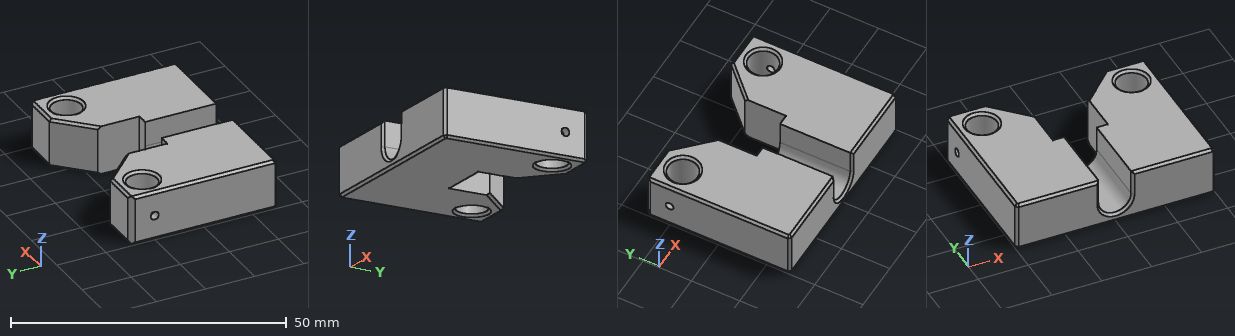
import cadquery as cq

length = 40.0
depth = 30.0
height = 10.0
edge_chamfer = height / 20
back_corner_chamfer = 2 * edge_chamfer
chamfer_angle = 45.0

notch_width = 11.0
notch_depth = 15.0
lead_in_width = 24.0

channel_width = 6.5
channel_axis_z = height / 2
channel_top_z = height + edge_chamfer

hole_diameter = 6.0
hole_inset = 5.0
cross_hole_diameter = 1.6

hole_x = length / 2 - hole_inset
hole_y = depth - hole_inset


def make_body():
    """Block with a V-shaped lead-in at the back and chamfered edges, except the upright back corners."""
    half_length = length / 2
    half_lead_in = lead_in_width / 2
    body = (
        cq.Workplane("XY")
        .moveTo(-half_length, 0)
        .lineTo(half_length, 0)
        .lineTo(half_length, depth)
        .lineTo(half_lead_in, depth)
        .lineTo(0, depth - half_lead_in)
        .lineTo(-half_lead_in, depth)
        .lineTo(-half_length, depth)
        .close()
        .extrude(height)
    )
    body = body.edges("|Z and <Y").chamfer(edge_chamfer)
    return body.faces("<Z or >Z").edges().chamfer(edge_chamfer)


def make_back_corner_cut(side):
    """Upright wedge that bevels the back corner on one side (side is -1 or 1)."""
    corner_x = side * length / 2
    return (
        cq.Workplane("XY")
        .moveTo(corner_x, depth)
        .lineTo(corner_x - side * back_corner_chamfer, depth)
        .lineTo(corner_x, depth - back_corner_chamfer)
        .close()
        .extrude(height)
    )


def make_notch():
    """Square notch cut down through the full height at the back."""
    return (
        cq.Workplane("XY")
        .rect(notch_width, notch_depth)
        .extrude(height)
        .translate((0, depth - notch_depth / 2, 0))
    )


def channel_outline(y, width):
    """U-shaped outline reaching above the block, in the XZ plane at y."""
    radius = width / 2
    return (
        cq.Workplane("XZ", origin=(0, y, 0))
        .moveTo(-radius, channel_top_z)
        .lineTo(-radius, channel_axis_z)
        .threePointArc((0, channel_axis_z - radius), (radius, channel_axis_z))
        .lineTo(radius, channel_top_z)
        .close()
    )


def make_channel():
    """Channel with a 45 degree chamfer around its mouth at the front face."""
    run = depth - notch_depth
    channel = channel_outline(run, channel_width).extrude(run)
    mouth_width = channel_width + 2 * edge_chamfer
    mouth = channel_outline(0, mouth_width).extrude(-edge_chamfer, taper=chamfer_angle)
    return channel.union(mouth)


def make_hole(x):
    """Vertical through hole, chamfered at both ends."""
    rim_diameter = hole_diameter + 2 * edge_chamfer
    hole = (
        cq.Workplane("XZ")
        .lineTo(rim_diameter / 2, 0)
        .lineTo(hole_diameter / 2, edge_chamfer)
        .lineTo(hole_diameter / 2, height - edge_chamfer)
        .lineTo(rim_diameter / 2, height)
        .lineTo(0, height)
        .close()
        .revolve(360, (0, 0, 0), (0, 1, 0))
    )
    return hole.translate((x, hole_y, 0))


def make_cross_hole(side):
    """Small hole from a side face (side is -1 or 1) to the axis of the vertical hole."""
    return (
        cq.Workplane("YZ", origin=(side * length / 2, hole_y, height / 2))
        .circle(cross_hole_diameter / 2)
        .extrude(-side * hole_inset)
    )


result = make_body().cut(make_notch())
result = result.cut(make_channel())
for side in (-1, 1):
    result = result.cut(make_back_corner_cut(side))
    result = result.cut(make_hole(side * hole_x))
    result = result.cut(make_cross_hole(side))